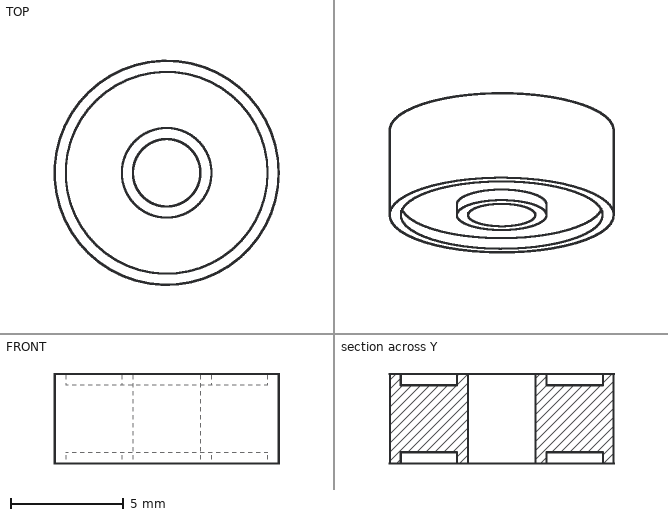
import cadquery as cq

OUTER_DIAMETER = 10.0
BORE_DIAMETER = 3.0
WIDTH = 4.0

OUTER_RACE_WALL = 0.5
INNER_RACE_WALL = 0.5
SHIELD_RECESS = 0.5

shield_outer_diameter = OUTER_DIAMETER - 2 * OUTER_RACE_WALL
shield_inner_diameter = BORE_DIAMETER + 2 * INNER_RACE_WALL


def ring(outer_diameter, inner_diameter, height, base_z):
    """Flat ring around the Z axis, standing on base_z."""
    return (
        cq.Workplane("XY", origin=(0, 0, base_z))
        .circle(outer_diameter / 2)
        .circle(inner_diameter / 2)
        .extrude(height)
    )


def shield_recess(base_z):
    """Annular space between the two races, next to one end face."""
    return ring(shield_outer_diameter, shield_inner_diameter, SHIELD_RECESS, base_z)


result = ring(OUTER_DIAMETER, BORE_DIAMETER, WIDTH, -WIDTH / 2)

for recess_base in (-WIDTH / 2, WIDTH / 2 - SHIELD_RECESS):
    result = result.cut(shield_recess(recess_base))